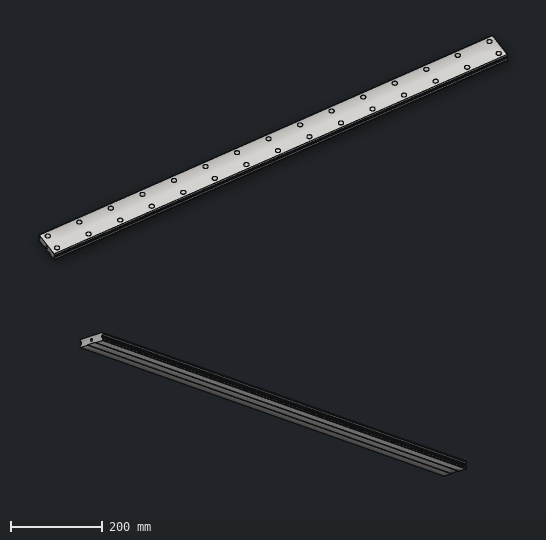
import cadquery as cq

length = 1150.0
width = 69.0
height = 20.0
top_chamfer = 2.0
bottom_chamfer = 1.0

raceway_mouth = 12.0
raceway_floor = 6.0
raceway_depth = 2.0
slot_height = 2.0
slot_depth = 1.0

channel_width = 23.0
channel_depth = 1.0

recesses_per_row = 15
row_spacing = 40.0
end_margin = 15.0
recess_pitch = (length - 2 * end_margin) / (recesses_per_row - 1)
recess_diameter = 12.0
recess_depth = 0.6

end_hole_diameter = 6.0
end_hole_depth = 12.0


def rail_body():
    """Bar with its four long edges chamfered."""
    bar = cq.Workplane("XY").box(width, length, height)
    bar = bar.edges("|Y and >Z").chamfer(top_chamfer)
    return bar.edges("|Y and <Z").chamfer(bottom_chamfer)


def raceway(side):
    """Full-length raceway cutter at mid height; side is -1 or +1 along X."""
    mouth_x = side * width / 2
    floor_x = side * (width / 2 - raceway_depth)
    slot_x = side * (width / 2 - raceway_depth - slot_depth)
    upper_half = [
        (mouth_x, raceway_mouth / 2),
        (floor_x, raceway_floor / 2),
        (floor_x, slot_height / 2),
        (slot_x, slot_height / 2),
    ]
    lower_half = [(x, -z) for x, z in reversed(upper_half)]
    outline = cq.Workplane("XZ").polyline(upper_half + lower_half).close()
    return outline.extrude(length / 2, both=True)


def underside_channel():
    """Full-length rectangular channel cutter, rising from the bottom face."""
    channel = cq.Workplane("XY").workplane(offset=-height / 2)
    return channel.rect(channel_width, length).extrude(channel_depth)


def mounting_recesses():
    """Cutters for every round recess, sunk from the top face."""
    centres = (
        cq.Workplane("XY")
        .workplane(offset=height / 2)
        .rarray(row_spacing, recess_pitch, 2, recesses_per_row)
    )
    return centres.circle(recess_diameter / 2).extrude(-recess_depth)


def end_hole(end):
    """Flat-bottomed hole cutter entering one end face; end is -1 or +1 along Y."""
    face = cq.Workplane("XZ", origin=(0, end * length / 2, 0))
    return face.circle(end_hole_diameter / 2).extrude(end * end_hole_depth)


result = rail_body().cut(underside_channel()).cut(mounting_recesses())
for direction in (-1, 1):
    result = result.cut(raceway(direction))
    result = result.cut(end_hole(direction))